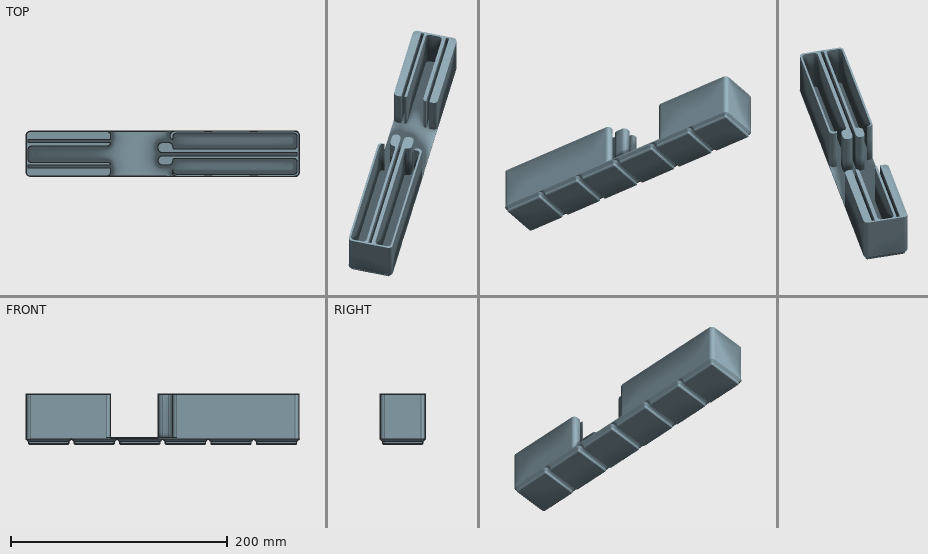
import cadquery as cq
import math

overall_length = 251.8
overall_height = 46.3
foot_count = 6
tray_foot_count = 3
clearance = 0.3
pitch = (overall_length + clearance) / foot_count

foot_chamfer = 0.8
foot_band = 1.8
foot_flare = 2.4
foot_height = foot_chamfer + foot_band + foot_flare
foot_band_radius = 1.55
foot_band_width = pitch - 2 * foot_flare
flare_angle = 45

tray_length = overall_length - clearance
half_width = pitch / 2 - clearance
outer_radius = 3.8
floor_thickness = 1.2
floor_top = foot_height + floor_thickness

end_wall = 1.8
side_wall = 1.8
slot_width = 3.0
inner_wall = 2.8
center_shift = 0.5
pocket_radius = 3.3

left_length = 77.8
left_pocket_half = 7.5
left_slot_inner = left_pocket_half + inner_wall
left_slot_outer = left_slot_inner + slot_width

right_inner_end = tray_length - end_wall
right_slot_half = slot_width / 2
right_pocket_inner = right_slot_half + inner_wall
right_pocket_outer = half_width - side_wall
pocket_start = 135.2
ear_start = 121.5
ear_outer = 10.3
ear_radius = 4.0
ear_root_radius = 2.0
rear_hook_thickness = 2.5
rear_hook_tip = ear_outer + slot_width
front_hook_thickness = 0.5
front_hook_tip = 14.9

shortest_edge = 0.003


def rounded_prism(corners, bottom, top):
    """Prism over a closed outline of right-angled (x, y, radius) corners; radius 0 stays sharp."""
    rounds = []
    for index, (x, y, radius) in enumerate(corners):
        corner = cq.Vector(x, y, bottom)
        before = cq.Vector(*corners[index - 1][:2], bottom)
        after = cq.Vector(*corners[(index + 1) % len(corners)][:2], bottom)
        to_before = (before - corner).normalized()
        to_after = (after - corner).normalized()
        start = corner + to_before * radius
        middle = corner + (to_before + to_after) * (radius * (1 - math.sqrt(0.5)))
        end = corner + to_after * radius
        rounds.append((start, middle, end))

    edges = []
    for index, (start, middle, end) in enumerate(rounds):
        previous_end = rounds[index - 1][2]
        if (start - previous_end).Length > shortest_edge:
            edges.append(cq.Edge.makeLine(previous_end, start))
        if (end - start).Length > shortest_edge:
            edges.append(cq.Edge.makeThreePointArc(start, middle, end))
    outline = cq.Wire.assembleEdges(edges)
    prism = cq.Solid.extrudeLinear(outline, [], cq.Vector(0, 0, top - bottom))
    return cq.Workplane(prism)


def mirrored(corners):
    """Same corners on the other side of the X axis, in reverse order."""
    return [(x, -y, radius) for x, y, radius in reversed(corners)]


def make_foot(index):
    center_x = pitch * (index + 0.5) - clearance
    base = (
        cq.Workplane("XY", origin=(center_x, 0, 0))
        .rect(foot_band_width, foot_band_width)
        .extrude(foot_chamfer + foot_band)
        .edges("|Z").fillet(foot_band_radius)
        .faces("<Z").chamfer(foot_chamfer)
    )
    flare = (
        base.faces(">Z").wires().toPending()
        .workplane().extrude(foot_flare, combine=False, taper=-flare_angle)
    )
    return base.union(flare)


def left_holder_half(pocket_edge):
    tip_radius = left_slot_inner - pocket_edge
    return [
        (0, half_width, outer_radius),
        (left_length, half_width, outer_radius),
        (left_length, left_slot_outer, 0),
        (end_wall, left_slot_outer, 0),
        (end_wall, left_slot_inner, 0),
        (left_length, left_slot_inner, 0),
        (left_length, pocket_edge, tip_radius),
        (end_wall, pocket_edge, pocket_radius),
    ]


def make_left_holder():
    rear = left_holder_half(left_pocket_half - center_shift)
    front = mirrored(left_holder_half(left_pocket_half + center_shift))
    return rounded_prism(rear + front, foot_height, overall_height)


def right_holder_half(slot_edge, hook_thickness, hook_tip):
    hook_start = pocket_start - hook_thickness
    return [
        (right_inner_end, slot_edge, 0),
        (ear_start, slot_edge, ear_radius),
        (ear_start, ear_outer, ear_radius),
        (pocket_start, ear_outer, ear_radius),
        (pocket_start, right_pocket_inner, ear_root_radius),
        (right_inner_end, right_pocket_inner, pocket_radius),
        (right_inner_end, right_pocket_outer, pocket_radius),
        (pocket_start, right_pocket_outer, pocket_radius),
        (pocket_start, hook_tip, 0),
        (hook_start, hook_tip, hook_thickness),
        (hook_start, half_width, outer_radius),
        (tray_length, half_width, outer_radius),
    ]


def make_right_holder():
    rear_slot_edge = right_slot_half - center_shift
    front_slot_edge = right_slot_half + center_shift
    rear = right_holder_half(rear_slot_edge, rear_hook_thickness, rear_hook_tip)
    front = mirrored(right_holder_half(front_slot_edge, front_hook_thickness, front_hook_tip))
    return rounded_prism(rear + front, foot_height, overall_height)


def make_tray():
    footprint = [
        (0, -half_width, outer_radius),
        (tray_length, -half_width, outer_radius),
        (tray_length, half_width, outer_radius),
        (0, half_width, outer_radius),
    ]
    tray = rounded_prism(footprint, foot_height, floor_top)
    tray = tray.union(make_left_holder()).union(make_right_holder())
    envelope = rounded_prism(footprint, 0, overall_height)
    for index in range(tray_foot_count):
        tray = tray.union(make_foot(index).intersect(envelope))
    return tray


tray = make_tray()
loose_feet = [make_foot(index) for index in range(tray_foot_count, foot_count)]

result = cq.Compound.makeCompound([tray.val(), *[foot.val() for foot in loose_feet]])